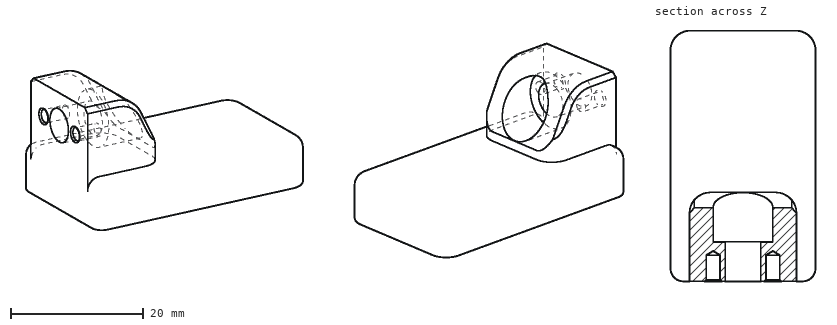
import cadquery as cq

base_width = 22.0
base_length = 38.0
base_height = 7.8
front_corner_radius = 2.0
rear_corner_radius = 3.0
top_edge_radius = 1.98
bottom_edge_radius = 0.5

block_width = 16.23
block_depth = 13.5
block_top = 19.15
block_rear_top = 9.3
slope_start = 8.63
crest_radius = 5.0
block_chamfer = 0.75
block_corner_radius = 3.2

bore_height = 13.87
bore_diameter = 5.32
counterbore_diameter = 9.0
counterbore_floor = 6.0

pilot_spacing = 9.05
pilot_diameter = 2.05
pilot_depth = 4.0
pilot_tip_length = 0.6
pilot_mouth_diameter = 2.6


def make_base():
    slab = cq.Workplane("XY").box(
        base_width, base_length, base_height, centered=(True, False, False)
    )
    slab = slab.edges("|Z and <Y").fillet(front_corner_radius)
    slab = slab.edges("|Z and >Y").fillet(rear_corner_radius)
    slab = slab.faces(">Z").edges().fillet(top_edge_radius)
    return slab.faces("<Z").edges().fillet(bottom_edge_radius)


def make_block():
    block_bottom = base_height - top_edge_radius
    body = (
        cq.Workplane("YZ")
        .moveTo(0, block_bottom)
        .lineTo(0, block_top)
        .lineTo(slope_start, block_top)
        .lineTo(block_depth, block_rear_top)
        .lineTo(block_depth, block_bottom)
        .close()
        .extrude(block_width / 2, both=True)
    )
    crest = cq.selectors.NearestToPointSelector((0, slope_start, block_top))
    body = body.edges("|X").edges(crest).fillet(crest_radius)

    upper_side_edges = (
        body.faces("<X or >X").edges("not(|Z)").edges("not(<Z)")
    )
    body = upper_side_edges.chamfer(block_chamfer)

    plan = (
        cq.Workplane("XY")
        .box(block_width, block_depth, block_top, centered=(True, False, False))
        .edges("|Z and >Y")
        .fillet(block_corner_radius)
    )
    return body.intersect(plan)


def hole_along_y(start, end, diameter):
    return (
        cq.Workplane("XZ", origin=(0, start, bore_height))
        .circle(diameter / 2)
        .extrude(start - end)
    )


def make_pilot_hole(x):
    mouth_depth = (pilot_mouth_diameter - pilot_diameter) / 2
    return (
        cq.Workplane("XY")
        .lineTo(pilot_mouth_diameter / 2, 0)
        .lineTo(pilot_diameter / 2, mouth_depth)
        .lineTo(pilot_diameter / 2, pilot_depth)
        .lineTo(0, pilot_depth + pilot_tip_length)
        .close()
        .revolve(360, (0, 0), (0, 1))
        .translate((x, 0, bore_height))
    )


result = make_base().union(make_block())
result = result.cut(hole_along_y(0, block_depth, bore_diameter))
result = result.cut(hole_along_y(counterbore_floor, block_depth, counterbore_diameter))
for side in (-1, 1):
    result = result.cut(make_pilot_hole(side * pilot_spacing / 2))